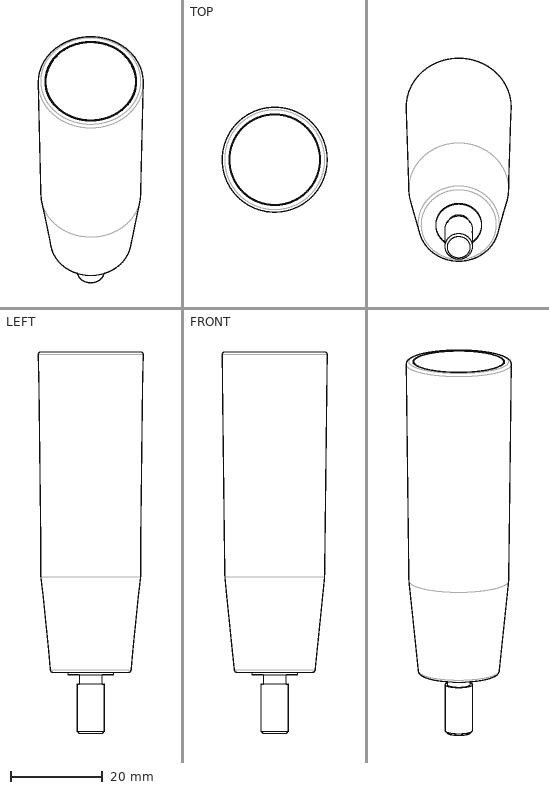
import cadquery as cq

TOTAL_HEIGHT = 83.4
HANDLE_HEIGHT = 70.05
HANDLE_BASE_Z = TOTAL_HEIGHT - HANDLE_HEIGHT

TOP_DIAMETER = 23.0
WAIST_DIAMETER = 21.85
BASE_DIAMETER = 17.6
FOOT_HEIGHT = 20.85
WAIST_Z = HANDLE_BASE_Z + FOOT_HEIGHT
TOP_ROUND = 0.6
BASE_ROUND = 0.7

GROOVE_OUTER_DIAMETER = 20.0
GROOVE_INNER_DIAMETER = 19.6
GROOVE_DEPTH = 0.5

COLLAR_DIAMETER = 10.0
COLLAR_HEIGHT = 0.5
NECK_DIAMETER = 5.0
NECK_HEIGHT = 2.0
STUD_DIAMETER = 6.0
STUD_CHAMFER = (STUD_DIAMETER - NECK_DIAMETER) / 2
SHANK_DEPTH = FOOT_HEIGHT
COLLAR_BASE_Z = HANDLE_BASE_Z - COLLAR_HEIGHT
STUD_HEIGHT = COLLAR_BASE_Z - NECK_HEIGHT


def cylinder(diameter, base_z, height):
    """Solid cylinder on the Z axis."""
    return cq.Workplane("XY", origin=(0, 0, base_z)).circle(diameter / 2).extrude(height)


def handle_blank():
    """Revolved grip and foot with both end edges rounded."""
    blank = (
        cq.Workplane("XZ")
        .moveTo(0, HANDLE_BASE_Z)
        .lineTo(BASE_DIAMETER / 2, HANDLE_BASE_Z)
        .lineTo(WAIST_DIAMETER / 2, WAIST_Z)
        .lineTo(TOP_DIAMETER / 2, TOTAL_HEIGHT)
        .lineTo(0, TOTAL_HEIGHT)
        .close()
        .revolve(360, (0, 0, 0), (0, 1, 0))
    )
    return blank.faces(">Z").edges().fillet(TOP_ROUND).faces("<Z").edges().fillet(BASE_ROUND)


def top_groove():
    """Ring to be cut from the top face."""
    return (
        cq.Workplane("XY", origin=(0, 0, TOTAL_HEIGHT))
        .circle(GROOVE_OUTER_DIAMETER / 2)
        .circle(GROOVE_INNER_DIAMETER / 2)
        .extrude(-GROOVE_DEPTH)
    )


def make_handle():
    """Grip with its top groove and the blind bore that takes the pin."""
    pin_bore = cylinder(COLLAR_DIAMETER, HANDLE_BASE_Z, SHANK_DEPTH)
    return handle_blank().cut(top_groove()).cut(pin_bore)


def make_pin():
    """Chamfered stud, relief neck, and the collar continuing up as the shank."""
    stud = cylinder(STUD_DIAMETER, 0, STUD_HEIGHT).faces("<Z").chamfer(STUD_CHAMFER)
    neck = cylinder(NECK_DIAMETER, STUD_HEIGHT, NECK_HEIGHT)
    shank = cylinder(COLLAR_DIAMETER, COLLAR_BASE_Z, COLLAR_HEIGHT + SHANK_DEPTH)
    return stud.union(neck).union(shank)


handle = make_handle()
pin = make_pin()

result = cq.Compound.makeCompound([handle.val(), pin.val()])